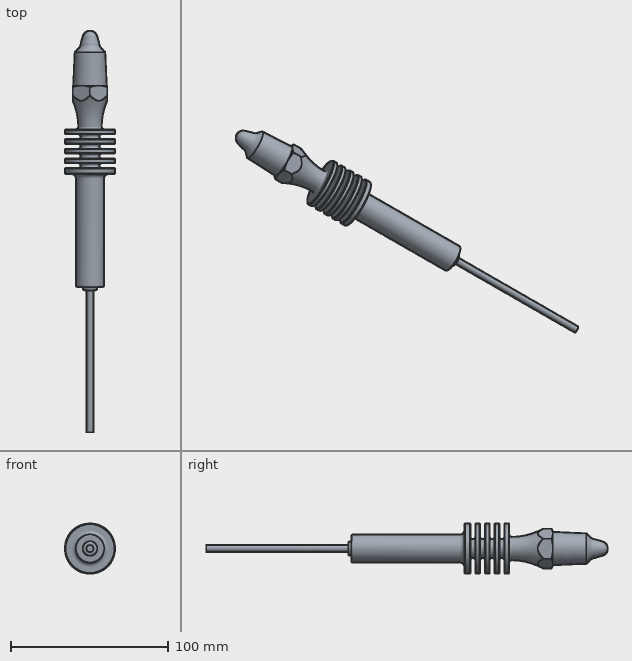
import cadquery as cq
import math

LENGTH = 255.13

CONE_SMALL_R = 9.3 / 2
CONE_LARGE_R = 12.0 / 2
CONE_START = 3.5
CONE_END = 8.1
FLARE_R = 14.5 / 2
SHOULDER_ANGLE = math.radians(45)

SLEEVE_SMALL_R = 19.6 / 2
SLEEVE_LARGE_R = 21.34 / 2
SLEEVE_TAPER_END = 33.4

HEX_SIDES = 6
HEX_START = 34.9
HEX_FLATS = 22.0
HEX_CORNER_END = 41.1
HEX_CHAMFER_ANGLE = math.radians(30)
NECK_R = 15.0 / 2
NECK_ARC_END = 61.1

FIN_COUNT = 5
FIN_R = 32.0 / 2
FIN_START = 62.6
FIN_PITCH = 6.15
FIN_THICKNESS = 3.25
LAST_FIN_THICKNESS = 3.95
FIN_CHAMFER = 0.5
CORE_R = 12.0 / 2
GROOVE_R = (FIN_PITCH - FIN_THICKNESS) / 2

BODY_R = 18.0 / 2
BODY_FILLET_R = 2.7
BODY_END = 162.9
BODY_FACE_R = 15.6 / 2
BODY_ROUND_R = BODY_R - BODY_FACE_R

COLLAR_R = 9.3 / 2
COLLAR_LENGTH = 2.1
COLLAR_FACE_R = 6.2 / 2
COLLAR_ROUND_R = COLLAR_R - COLLAR_FACE_R
ROD_R = 4.53 / 2


def station(distance):
    """Y coordinate of a station measured from the tip."""
    return LENGTH / 2 - distance


def at(radius, distance):
    """Profile point at a radius and station."""
    return (radius, station(distance))


def turn(profile):
    """Revolve a closed half profile around the Y axis."""
    return profile.close().revolve(360, (0, 0, 0), (0, 1, 0))


def nose_and_sleeve():
    cone_angle = math.atan2(CONE_LARGE_R - CONE_SMALL_R, CONE_END - CONE_START)
    ball_r = CONE_SMALL_R / math.cos(cone_angle)
    ball_center = ball_r
    ball_mid_angle = (math.pi / 2 - cone_angle) / 2
    ball_mid = at(ball_r * math.sin(ball_mid_angle), ball_center - ball_r * math.cos(ball_mid_angle))
    cone_start = ball_center - ball_r * math.sin(cone_angle)

    flare_arc_r = (FLARE_R - CONE_LARGE_R) / (1 - math.cos(SHOULDER_ANGLE))
    half_angle = SHOULDER_ANGLE / 2
    flare_mid = at(
        CONE_LARGE_R + flare_arc_r * (1 - math.cos(half_angle)),
        CONE_END + flare_arc_r * math.sin(half_angle),
    )
    flare_end = CONE_END + flare_arc_r * math.sin(SHOULDER_ANGLE)
    shoulder_end = flare_end + (SLEEVE_SMALL_R - FLARE_R) / math.tan(SHOULDER_ANGLE)

    return turn(
        cq.Workplane("XY")
        .moveTo(*at(0, 0))
        .threePointArc(ball_mid, at(CONE_SMALL_R, cone_start))
        .lineTo(*at(CONE_LARGE_R, CONE_END))
        .threePointArc(flare_mid, at(FLARE_R, flare_end))
        .lineTo(*at(SLEEVE_SMALL_R, shoulder_end))
        .lineTo(*at(SLEEVE_LARGE_R, SLEEVE_TAPER_END))
        .lineTo(*at(SLEEVE_LARGE_R, HEX_START))
        .lineTo(*at(0, HEX_START))
    )


def hexagon_and_neck():
    flat_r = HEX_FLATS / 2
    corner_r = flat_r / math.cos(math.pi / HEX_SIDES)
    chamfer_length = (corner_r - flat_r) * math.tan(HEX_CHAMFER_ANGLE)

    arc_length = NECK_ARC_END - HEX_CORNER_END
    arc_rise = corner_r - NECK_R
    arc_r = (arc_length**2 + arc_rise**2) / (2 * arc_rise)
    half_angle = math.asin(arc_length / arc_r) / 2
    arc_mid = at(NECK_R + arc_r * (1 - math.cos(half_angle)), NECK_ARC_END - arc_r * math.sin(half_angle))

    envelope = turn(
        cq.Workplane("XY")
        .moveTo(*at(0, HEX_START))
        .lineTo(*at(flat_r, HEX_START))
        .lineTo(*at(corner_r, HEX_START + chamfer_length))
        .lineTo(*at(corner_r, HEX_CORNER_END))
        .threePointArc(arc_mid, at(NECK_R, NECK_ARC_END))
        .lineTo(*at(0, NECK_ARC_END))
    )
    hexagon = (
        cq.Workplane("XZ", origin=(0, station(HEX_START), 0))
        .transformed(rotate=(0, 0, 180 / HEX_SIDES))
        .polygon(HEX_SIDES, 2 * corner_r)
        .extrude(NECK_ARC_END - HEX_START)
    )
    return envelope.intersect(hexagon)


def draw_fin(profile, start, end):
    """Continue a profile out over the chamfered rim of a fin and onto its far face."""
    return (
        profile.lineTo(*at(FIN_R - FIN_CHAMFER, start))
        .lineTo(*at(FIN_R, start + FIN_CHAMFER))
        .lineTo(*at(FIN_R, end - FIN_CHAMFER))
        .lineTo(*at(FIN_R - FIN_CHAMFER, end))
    )


def fins_body_and_rod():
    fillet_offset = 1 - math.sqrt(0.5)

    neck_fillet_r = FIN_START - NECK_ARC_END
    neck_fillet_mid = at(NECK_R + neck_fillet_r * fillet_offset, FIN_START - neck_fillet_r * fillet_offset)
    profile = cq.Workplane("XY").moveTo(*at(0, NECK_ARC_END)).lineTo(*at(NECK_R, NECK_ARC_END))
    profile = profile.threePointArc(neck_fillet_mid, at(NECK_R + neck_fillet_r, FIN_START))

    groove_shoulder_r = CORE_R + GROOVE_R
    for index in range(FIN_COUNT - 1):
        start = FIN_START + index * FIN_PITCH
        end = start + FIN_THICKNESS
        profile = draw_fin(profile, start, end).lineTo(*at(groove_shoulder_r, end))
        profile = profile.threePointArc(
            at(CORE_R, end + GROOVE_R), at(groove_shoulder_r, start + FIN_PITCH)
        )
    last_start = FIN_START + (FIN_COUNT - 1) * FIN_PITCH
    last_end = last_start + LAST_FIN_THICKNESS
    profile = draw_fin(profile, last_start, last_end)

    body_fillet_mid = at(BODY_R + BODY_FILLET_R * fillet_offset, last_end + BODY_FILLET_R * fillet_offset)
    body_round_mid = at(BODY_R - BODY_ROUND_R * fillet_offset, BODY_END - BODY_ROUND_R * fillet_offset)
    profile = (
        profile.lineTo(*at(BODY_R + BODY_FILLET_R, last_end))
        .threePointArc(body_fillet_mid, at(BODY_R, last_end + BODY_FILLET_R))
        .lineTo(*at(BODY_R, BODY_END - BODY_ROUND_R))
        .threePointArc(body_round_mid, at(BODY_FACE_R, BODY_END))
    )

    collar_end = BODY_END + COLLAR_LENGTH
    collar_mid = at(COLLAR_R - COLLAR_ROUND_R * fillet_offset, collar_end - COLLAR_ROUND_R * fillet_offset)
    profile = (
        profile.lineTo(*at(COLLAR_R, BODY_END))
        .lineTo(*at(COLLAR_R, collar_end - COLLAR_ROUND_R))
        .threePointArc(collar_mid, at(COLLAR_FACE_R, collar_end))
        .lineTo(*at(ROD_R, collar_end))
        .lineTo(*at(ROD_R, LENGTH))
        .lineTo(*at(0, LENGTH))
    )
    return turn(profile)


result = nose_and_sleeve().union(hexagon_and_neck()).union(fins_body_and_rod())